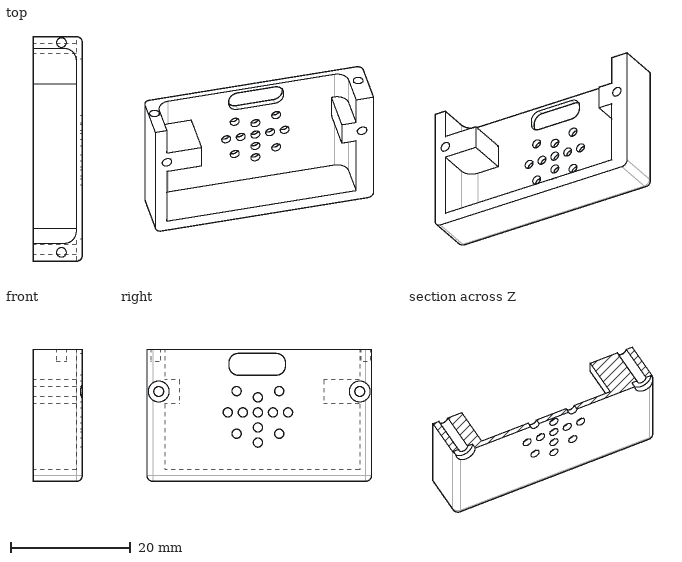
import cadquery as cq
import math

depth = 8.2
width = 37.5
height = 22.0
edge_radius = 1.0

left_wall = 2.0
right_wall = 3.0
floor_thickness = 2.0
back_thickness = 1.0
cavity_corner_radius = 2.0

cavity_left = width / 2 - left_wall
cavity_right = -width / 2 + right_wall
cavity_depth = depth - back_thickness

lug_height = 4.05
left_lug_length = 5.95
right_lug_length = 2.48
screw_drop = 7.0
screw_inset = 2.0
screw_diameter = 1.6
counterbore_diameter = 3.5
counterbore_depth = 1.0
screw_z = height - screw_drop

rim_hole_diameter = 1.6
rim_hole_depth = 2.0
rim_hole_x = 4.72
left_rim_hole_inset = 1.0
right_rim_hole_inset = 1.5

vent_diameter = 1.5
vent_pitch = 2.5
vent_center_y = -0.22
vent_center_z = 11.5

window_width = 9.38
window_height = 3.6
window_radius = 1.5
window_center_y = -0.35
window_drop = 2.48


def box_between(x_range, y_range, z_range):
    """Box spanning the given (low, high) limits along each axis."""
    low, high = zip(x_range, y_range, z_range)
    size = [b - a for a, b in zip(low, high)]
    return cq.Workplane("XY").box(*size, centered=False).translate(low)


def x_cylinder(diameter, y, z, x_start, length):
    """Cylinder along +X."""
    return (
        cq.Workplane("YZ", origin=(x_start, y, z))
        .circle(diameter / 2)
        .extrude(length)
    )


def make_shell():
    body = box_between((0, depth), (-width / 2, width / 2), (0, height))
    body = body.edges("|X and <Z").fillet(edge_radius)
    body = body.faces(">X").edges("not >Z").fillet(edge_radius)
    cavity = box_between((0, cavity_depth), (cavity_right, cavity_left), (floor_thickness, height))
    return body.cut(cavity.edges("|Z and >X").fillet(cavity_corner_radius))


def add_lugs(body):
    z_range = (screw_z - lug_height / 2, screw_z + lug_height / 2)
    x_range = (0, cavity_depth + back_thickness / 2)
    left_range = (cavity_left - left_lug_length, cavity_left + left_wall / 2)
    right_range = (cavity_right - right_wall / 2, cavity_right + right_lug_length)
    for y_range in (left_range, right_range):
        body = body.union(box_between(x_range, y_range, z_range))
    return body


def cut_screw_holes(body):
    for side in (-1, 1):
        y = side * (width / 2 - screw_inset)
        body = body.cut(x_cylinder(screw_diameter, y, screw_z, 0, depth))
        counterbore = x_cylinder(
            counterbore_diameter, y, screw_z, depth - counterbore_depth, counterbore_depth
        )
        body = body.cut(counterbore)
    return body


def cut_rim_holes(body):
    for y in (width / 2 - left_rim_hole_inset, -width / 2 + right_rim_hole_inset):
        hole = (
            cq.Workplane("XY", origin=(rim_hole_x, y, height))
            .circle(rim_hole_diameter / 2)
            .extrude(-rim_hole_depth)
        )
        body = body.cut(hole)
    return body


def cut_vents(body):
    offsets = [(0, 0)]
    for angle in range(0, 360, 90):
        offsets.append((vent_pitch, angle))
    for angle in range(0, 360, 45):
        if angle != 90:
            offsets.append((2 * vent_pitch, angle))
    for radius, angle in offsets:
        y = vent_center_y + radius * math.cos(math.radians(angle))
        z = vent_center_z + radius * math.sin(math.radians(angle))
        body = body.cut(x_cylinder(vent_diameter, y, z, cavity_depth, back_thickness))
    return body


def cut_window(body):
    window = (
        cq.Workplane("YZ", origin=(cavity_depth, window_center_y, height - window_drop))
        .rect(window_width, window_height)
        .extrude(back_thickness)
        .edges("|X")
        .fillet(window_radius)
    )
    return body.cut(window)


shell = add_lugs(make_shell())
shell = cut_screw_holes(shell)
shell = cut_rim_holes(shell)
shell = cut_vents(shell)
result = cut_window(shell)